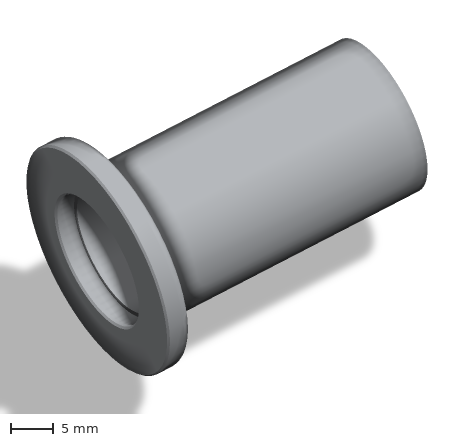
import cadquery as cq
import math

length = 40.0
flange_diameter = 30.0
tube_diameter = 20.0
bore_diameter = 16.0

rim_thickness = 3.0
back_angle = 15.0
back_edge_radius = 1.0
edge_chamfer = 0.25

recess_diameter = 17.2
recess_depth = 2.6

flange_radius = flange_diameter / 2
tube_radius = tube_diameter / 2
cone_height = (flange_radius - tube_radius) * math.tan(math.radians(back_angle))
cone_end = rim_thickness + cone_height


def make_flanged_tube():
    """Solid tube and flange along +Y, with the flange face at one end."""
    half_profile = (
        cq.Workplane("XY")
        .moveTo(0, 0)
        .lineTo(flange_radius, 0)
        .lineTo(flange_radius, rim_thickness)
        .lineTo(tube_radius, cone_end)
        .lineTo(tube_radius, length)
        .lineTo(0, length)
        .close()
    )
    body = half_profile.revolve(360, (0, 0, 0), (0, 1, 0))
    rim_back_edge = cq.selectors.BoxSelector(
        (-flange_diameter, rim_thickness - edge_chamfer, -flange_diameter),
        (flange_diameter, rim_thickness + edge_chamfer, flange_diameter),
        boundingbox=True,
    )
    return body.edges(rim_back_edge).fillet(back_edge_radius)


def cut_from_face(body, diameter, depth):
    """Cut a round hole along +Y from the flange face."""
    hole = cq.Workplane("XZ").circle(diameter / 2).extrude(-depth)
    return body.cut(hole)


part = make_flanged_tube()
part = cut_from_face(part, bore_diameter, length)
part = cut_from_face(part, recess_diameter, recess_depth)

part = part.faces("<Y").edges().chamfer(edge_chamfer)

result = part.translate((0, -length / 2, 0))